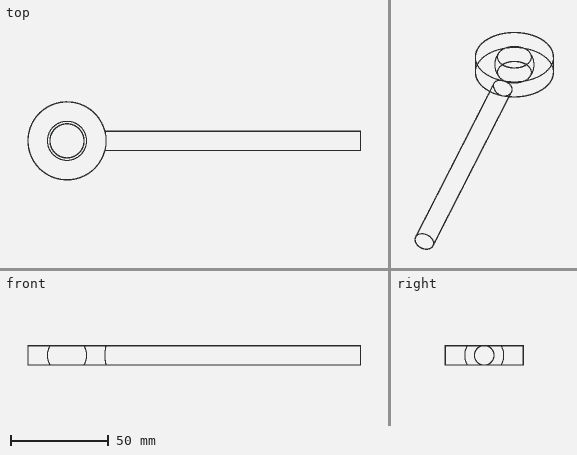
import cadquery as cq

overall_length = 170.0
ring_diameter = 40.0
socket_diameter = 20.0
thickness = 10.0

ring_radius = ring_diameter / 2
rod_diameter = thickness
rod_end_x = overall_length - ring_radius


def make_ring():
    """Flat disc around the Z axis, centred on the XY plane."""
    return cq.Workplane("XY").cylinder(thickness, ring_radius)


def make_rod():
    """Round rod along +X, starting at the ring centre."""
    return cq.Workplane("YZ").circle(rod_diameter / 2).extrude(rod_end_x)


def make_ball_socket():
    """Ball wider than the ring is thick, so its socket opens through both ring faces."""
    return cq.Workplane("XY").sphere(socket_diameter / 2)


result = make_ring().union(make_rod()).cut(make_ball_socket())